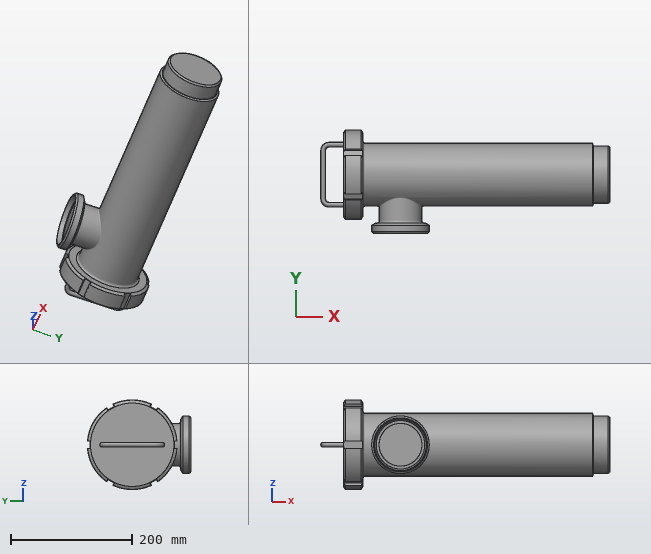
import cadquery as cq
import math


tube_radius = 52.0
tube_end_x = 410.5
spigot_radius = 47.5
spigot_end_x = 439.0
spigot_chamfer = 2.8
shoulder_bevel_length = 1.5
shoulder_bevel_radius = 48.5

nut_radius = 74.0
nut_width = 32.0
nut_chamfer_length = 3.0
nut_chamfer_depth = nut_chamfer_length * math.tan(math.radians(60))
slot_count = 6
slot_width = 12.0
slot_floor_radius = 69.5
neck_fillet = 4.0
neck_shoulder_radius = tube_radius + 3.5

rod_radius = 4.0
handle_reach = 37.5
leg_offset = 49.5
bend_radius = 10.0

branch_x = 94.0
branch_length = 97.0
branch_radius = 35.2
saddle_fillet = 2.0

flange_radius = 47.5
mouth_chamfer = 3.0
flange_rim_end = 13.3
flange_back = 17.2
flange_back_radius = 41.5
flange_fillet = 4.0

mouth_radius = 42.8
seat_radius = 40.0
seat_depth = 8.0
recess_depth = 13.0
plug_radius = 35.3
plug_depth = 8.5


def make_body():
    """Tube, fillet to the nut, and end spigot, revolved about X."""
    neck_end_x = nut_width + neck_fillet
    fillet_center_y = tube_radius + neck_fillet
    arc_angle = math.acos((fillet_center_y - neck_shoulder_radius) / neck_fillet)
    arc_start_x = neck_end_x - neck_fillet * math.sin(arc_angle)
    arc_mid = (
        neck_end_x - neck_fillet * math.sin(arc_angle / 2),
        fillet_center_y - neck_fillet * math.cos(arc_angle / 2),
    )
    profile = (
        cq.Workplane("XY")
        .moveTo(nut_width / 2, 0)
        .lineTo(nut_width / 2, neck_shoulder_radius)
        .lineTo(arc_start_x, neck_shoulder_radius)
        .threePointArc(arc_mid, (neck_end_x, tube_radius))
        .lineTo(tube_end_x, tube_radius)
        .lineTo(tube_end_x + shoulder_bevel_length, shoulder_bevel_radius)
        .lineTo(tube_end_x + shoulder_bevel_length, spigot_radius)
        .lineTo(spigot_end_x - spigot_chamfer, spigot_radius)
        .lineTo(spigot_end_x, spigot_radius - spigot_chamfer)
        .lineTo(spigot_end_x, 0)
        .close()
    )
    return profile.revolve(360, (0, 0, 0), (1, 0, 0))


def make_nut():
    """Closed disc with bevelled rims and wrench slots, the first at -Y."""
    bevel_radius = nut_radius - nut_chamfer_depth
    nut = (
        cq.Workplane("XY")
        .moveTo(0, 0)
        .lineTo(0, bevel_radius)
        .lineTo(nut_chamfer_length, nut_radius)
        .lineTo(nut_width - nut_chamfer_length, nut_radius)
        .lineTo(nut_width, bevel_radius)
        .lineTo(nut_width, 0)
        .close()
        .revolve(360, (0, 0, 0), (1, 0, 0))
    )
    slot_depth = nut_radius - slot_floor_radius
    cutter = cq.Workplane("XY").box(nut_width, 2 * slot_depth, slot_width).translate(
        (nut_width / 2, -nut_radius, 0)
    )
    for index in range(slot_count):
        angle = index * 360 / slot_count
        nut = nut.cut(cutter.rotate((0, 0, 0), (1, 0, 0), angle))
    return nut


def make_handle():
    """U-shaped rod in the XY plane, its legs rooted inside the nut."""
    root_x = nut_width / 2
    grip_x = rod_radius - handle_reach
    bend_start_x = grip_x + bend_radius
    bend_end_y = leg_offset - bend_radius
    arc_inset = bend_radius * (1 - math.sqrt(0.5))
    path = (
        cq.Workplane("XY")
        .moveTo(root_x, leg_offset)
        .lineTo(bend_start_x, leg_offset)
        .threePointArc((grip_x + arc_inset, leg_offset - arc_inset), (grip_x, bend_end_y))
        .lineTo(grip_x, -bend_end_y)
        .threePointArc((grip_x + arc_inset, arc_inset - leg_offset), (bend_start_x, -leg_offset))
        .lineTo(root_x, -leg_offset)
    )
    section = cq.Workplane("YZ", origin=(root_x, leg_offset, 0)).circle(rod_radius)
    return section.sweep(path)


def revolve_about_branch(profile):
    return profile.close().revolve(360, (0, 0, 0), (0, 1, 0))


def branch_plane():
    """Local origin at the mouth centre; local Y runs inward along the branch."""
    return cq.Workplane("XY", origin=(branch_x, -branch_length, 0))


def make_branch_pipe():
    return revolve_about_branch(
        branch_plane()
        .moveTo(0, plug_depth)
        .lineTo(branch_radius, plug_depth)
        .lineTo(branch_radius, branch_length)
        .lineTo(0, branch_length)
    )


def fillet_saddle(solid):
    """Round the closed curve where the branch pipe enters the tube."""
    half_box = branch_radius + 1
    saddle_box = cq.selectors.BoxSelector(
        (branch_x - half_box, -tube_radius - 1, -half_box),
        (branch_x + half_box, 0, half_box),
        boundingbox=True,
    )
    return solid.edges(saddle_box).fillet(saddle_fillet)


def make_flange():
    """Threaded-end flange with bevelled back and a fillet down to the pipe."""
    arc_inset = flange_fillet * (1 - math.sqrt(0.5))
    return revolve_about_branch(
        branch_plane()
        .moveTo(0, 0)
        .lineTo(flange_radius - mouth_chamfer, 0)
        .lineTo(flange_radius, mouth_chamfer)
        .lineTo(flange_radius, flange_rim_end)
        .lineTo(flange_back_radius, flange_back)
        .lineTo(branch_radius + flange_fillet, flange_back)
        .threePointArc(
            (branch_radius + arc_inset, flange_back + arc_inset),
            (branch_radius, flange_back + flange_fillet),
        )
        .lineTo(0, flange_back + flange_fillet)
    )


def make_mouth_recess():
    """Tapered seat leading to a deeper ring groove around the plug."""
    return revolve_about_branch(
        branch_plane()
        .moveTo(0, 0)
        .lineTo(mouth_radius, 0)
        .lineTo(seat_radius, seat_depth)
        .lineTo(seat_radius, recess_depth)
        .lineTo(plug_radius, recess_depth)
        .lineTo(plug_radius, plug_depth)
        .lineTo(0, plug_depth)
    )


body_with_branch = fillet_saddle(make_body().union(make_branch_pipe()))
result = (
    body_with_branch
    .union(make_flange())
    .cut(make_mouth_recess())
    .union(make_nut())
    .union(make_handle())
)